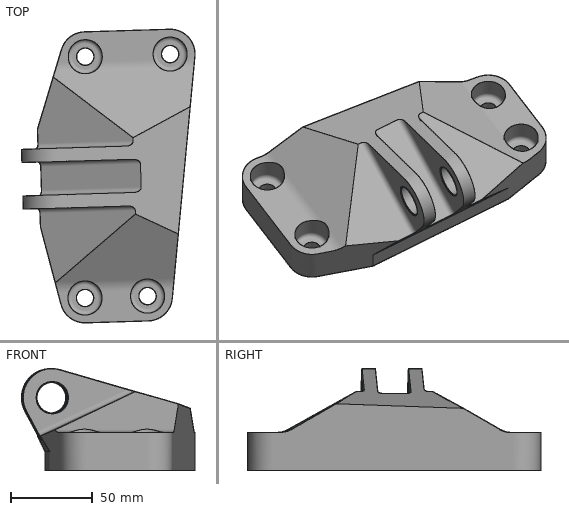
import cadquery as cq
import math

tilt = 1.75
part_center = (64.0, 0)

bolt_spacing_y = 148.0
bolt_y = bolt_spacing_y / 2
bolts_rear = (-22.5, 29.5)
bolts_front = (-27.2, 11.2)
corner_radius = 15.3
pad_height = 23.5
bolt_hole_diameter = 10.5
counterbore_diameter = 20.9
counterbore_depth = 15.1
counterbore_fillet = 2.5

rear_wall_angle = 18.5
front_wall_angle = 13.1
nose_x = -48.1
nose_height = 11.5

roof_angle = 30.0
roof_foot_y = 66.8
roof_fillet = 12.8
top_angle = 16.2

eye_x = -45.5
eye_z = 44.7
eye_radius = 17.8
eye_hole_diameter = 18.7
eye_hole_chamfer = 0.5
slot_width = 20.4
lug_inner_y = slot_width / 2
lug_outer_y = 18.4
lug_end_x = 3.6

floor_angle = 25.0
side_floor_z = 23.6
slot_floor_z = 20.5
floor_fillet = 3.0

reach = 216.2


def tangent_x(bolt_x, bolt_side, slope, y, side):
    """X at y of a wall tangent to the corner circle round one bolt."""
    return bolt_x + slope * (y - bolt_side * bolt_y) + side * corner_radius * math.hypot(1, slope)


def make_base():
    """Prism with the plan outline and rounded corners; its -X walls run on to a point."""
    end_y = bolt_y + corner_radius
    right_slope = (bolts_rear[1] - bolts_front[1]) / bolt_spacing_y
    rear_slope = math.tan(math.radians(rear_wall_angle))
    front_slope = -math.tan(math.radians(front_wall_angle))
    rear_x = tangent_x(bolts_rear[0], 1, rear_slope, 0, -1)
    front_x = tangent_x(bolts_front[0], -1, front_slope, 0, -1)
    point_y = (front_x - rear_x) / (rear_slope - front_slope)
    outline = [
        (rear_x + rear_slope * point_y, point_y),
        (front_x - front_slope * end_y, -end_y),
        (tangent_x(bolts_front[1], -1, right_slope, -end_y, 1), -end_y),
        (tangent_x(bolts_rear[1], 1, right_slope, end_y, 1), end_y),
        (rear_x + rear_slope * end_y, end_y),
    ]
    prism = cq.Workplane("XY").polyline(outline).close().extrude(reach)
    corners = prism.edges("|Z and (>Y or <Y)")
    return corners.fillet(corner_radius)


def side_prism(end_x, y_low, y_high):
    """Nose, undercut, eye and top plane as one XZ profile, extruded from y_low to y_high."""
    to_eye_x = eye_x - nose_x
    to_eye_z = eye_z - nose_height
    lean = math.asin(eye_radius / math.hypot(to_eye_x, to_eye_z)) - math.atan2(to_eye_x, to_eye_z)
    top = math.radians(top_angle)

    def on_eye(angle):
        return (eye_x + eye_radius * math.cos(angle), eye_z + eye_radius * math.sin(angle))

    undercut_end = on_eye(math.pi + lean)
    top_start = on_eye(math.pi / 2 - top)
    end_z = top_start[1] - (end_x - top_start[0]) * math.tan(top)
    profile = (
        cq.Workplane("XZ", origin=(0, y_high, 0))
        .moveTo(end_x, 0)
        .lineTo(nose_x, 0)
        .lineTo(nose_x, nose_height)
        .lineTo(*undercut_end)
        .threePointArc(on_eye(math.pi), top_start)
        .lineTo(end_x, end_z)
        .close()
    )
    return profile.extrude(y_high - y_low)


def make_roof():
    """Bolt pads and the two end slopes, extruded along X, with blended feet."""
    ridge_z = pad_height + roof_foot_y * math.tan(math.radians(roof_angle))
    half_length = bolt_y + corner_radius
    outline = [
        (-half_length, 0),
        (half_length, 0),
        (half_length, pad_height),
        (roof_foot_y, pad_height),
        (0, ridge_z),
        (-roof_foot_y, pad_height),
        (-half_length, pad_height),
    ]
    roof = cq.Workplane("YZ").polyline(outline).close().extrude(reach / 2, both=True)
    for side in (-1, 1):
        foot = cq.selectors.NearestToPointSelector((0, side * roof_foot_y, pad_height))
        roof = roof.edges("|X").edges(foot).fillet(roof_fillet)
    return roof


def floor_cutter(floor_z, y_low, y_high, lug_faces):
    """Everything above a sloping floor, with the floor edges next to the lugs rounded."""
    half = reach / 2
    plane = cq.Plane(origin=(nose_x, 0, floor_z), normal=(0, -1, 0), xDir=(1, 0, 0))
    plane = plane.rotated((0, 0, floor_angle))
    block = (
        cq.Workplane(plane)
        .polyline([(-half, 0), (reach, 0), (reach, half), (-half, half)])
        .close()
        .extrude(y_high - y_low)
        .translate((0, y_high, 0))
    )
    for lug_face_y in lug_faces:
        edge = cq.selectors.NearestToPointSelector((nose_x, lug_face_y, floor_z))
        block = block.edges("not |Y").edges(edge).fillet(floor_fillet)
    return block


def cut_bolt_holes(body):
    """Through holes with round-bottomed counterbores."""
    floor_z = pad_height - counterbore_depth
    for side, positions in ((1, bolts_rear), (-1, bolts_front)):
        for x in positions:
            spot = cq.Workplane("XY", origin=(x, side * bolt_y, 0))
            hole = spot.circle(bolt_hole_diameter / 2).extrude(pad_height)
            bore = spot.workplane(offset=floor_z).circle(counterbore_diameter / 2).extrude(reach)
            bore = bore.faces("<Z").edges().fillet(counterbore_fillet)
            body = body.cut(hole).cut(bore)
    return body


def drill_eyes(body):
    """One hole through both lugs, with every rim chamfered."""
    radius = eye_hole_diameter / 2
    for y_low, y_high in ((-lug_outer_y, -lug_inner_y), (lug_inner_y, lug_outer_y)):
        drill = cq.Workplane("XZ", origin=(eye_x, y_high, eye_z)).circle(radius).extrude(y_high - y_low)
        body = body.cut(drill)
        for y, inward in ((y_low, 1), (y_high, -1)):
            rim_plane = cq.Plane(origin=(eye_x, y, eye_z), xDir=(1, 0, 0), normal=(0, inward, 0))
            countersink = (
                cq.Workplane(rim_plane)
                .circle(radius + eye_hole_chamfer)
                .extrude(eye_hole_chamfer, taper=45)
            )
            body = body.cut(countersink)
    return body


body = make_base().intersect(side_prism(reach / 2, -reach / 2, reach / 2)).intersect(make_roof())
for lug_y in (-lug_outer_y, lug_inner_y):
    body = body.union(side_prism(lug_end_x, lug_y, lug_y + lug_outer_y - lug_inner_y))
body = body.cut(floor_cutter(slot_floor_z, -lug_inner_y, lug_inner_y, (-lug_inner_y, lug_inner_y)))
body = body.cut(floor_cutter(side_floor_z, lug_outer_y, reach / 2, (lug_outer_y,)))
body = body.cut(floor_cutter(side_floor_z, -reach / 2, -lug_outer_y, (-lug_outer_y,)))
body = drill_eyes(body)
body = cut_bolt_holes(body)

result = body.rotate((0, 0, 0), (0, 0, 1), tilt).translate((*part_center, 0))